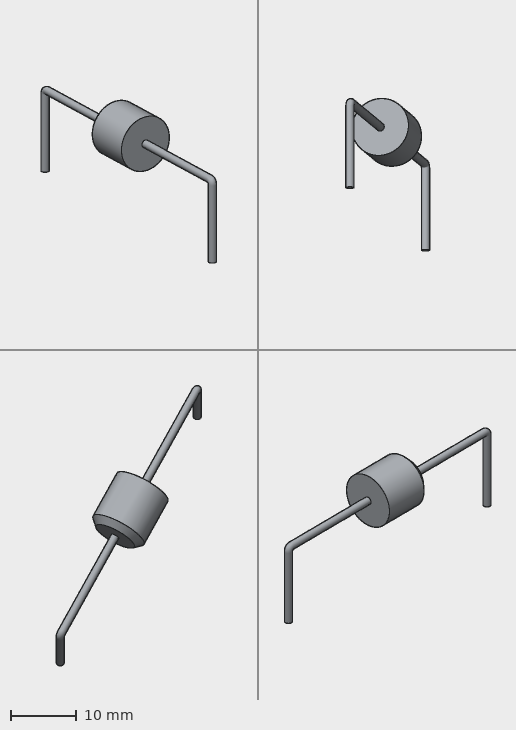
import cadquery as cq

span = 45.7
body_diameter = 8.85
body_length = 8.85
body_chamfer = 1.1
lead_diameter = 1.3
inner_bend_radius = 0.025
total_height = 17.8

lead_radius = lead_diameter / 2
lead_bottom_z = body_diameter / 2 - total_height
elbow_x = span / 2 - lead_diameter - inner_bend_radius
elbow_z = -lead_radius - inner_bend_radius
leg_x = span / 2 - lead_radius


def make_body():
    """Cylinder along X with one chamfered end."""
    return (
        cq.Workplane("YZ", origin=(-body_length / 2, 0, 0))
        .circle(body_diameter / 2)
        .extrude(body_length)
        .faces("<X").edges().chamfer(body_chamfer)
    )


def make_lead(side):
    """Bent round lead that leaves the +X (side = 1) or -X (side = -1) end face."""
    path = (
        cq.Workplane("XZ")
        .moveTo(side * body_length / 2, 0)
        .lineTo(side * elbow_x, 0)
        .tangentArcPoint((side * leg_x, elbow_z), relative=False)
        .lineTo(side * leg_x, lead_bottom_z)
    )
    return (
        cq.Workplane("YZ", origin=(side * body_length / 2, 0, 0))
        .circle(lead_radius)
        .sweep(path)
    )


body = make_body()
leads = [make_lead(side) for side in (-1, 1)]

result = cq.Compound.makeCompound([body.val(), *[lead.val() for lead in leads]])